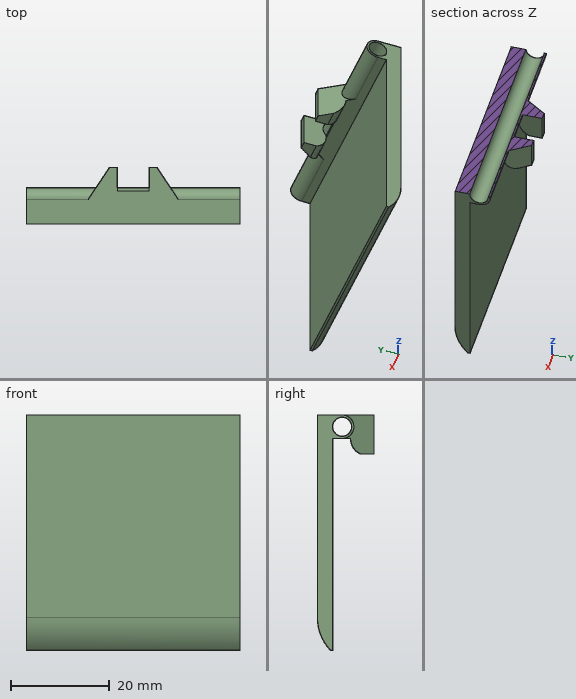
import cadquery as cq
import math

WIDTH = 43.18
HEIGHT = 47.62
DEPTH = 11.51

PLATE_THICKNESS = 3.175
NOSE_RADIUS = 9.525
TIP_THICKNESS = 0.5

BARREL_DIAMETER = 4.7625
BORE_DIAMETER = 3.81
BARREL_Y = 5.02
BARREL_RADIUS = BARREL_DIAMETER / 2
BARREL_Z = HEIGHT - BARREL_RADIUS
BARREL_BOTTOM = HEIGHT - BARREL_DIAMETER

PRONG_GAP = 6.4
PRONG_TIP_WIDTH = 1.6
PRONG_ROOT_Y = 6.7
PRONG_SIDE_ANGLE = 33.5
HOOK_DROP = 3.175
HOOK_RADIUS = 3.429


def arc_inset(radius, distance):
    """Sideways offset of an arc at a distance along the line it leaves tangentially."""
    return radius - math.sqrt(radius**2 - distance**2)


def arc_distance(radius, inset):
    """Distance along the tangent line at which an arc has moved sideways by inset."""
    return math.sqrt(radius**2 - (radius - inset) ** 2)


def end_sketch():
    """Y-Z sketch plane on the left end of the part."""
    return cq.Workplane("YZ", origin=(-WIDTH / 2, 0, 0))


def make_plate():
    """Plate with its lower front edge rounded, tangent to the front face."""
    tip_y = PLATE_THICKNESS - TIP_THICKNESS
    nose_height = arc_distance(NOSE_RADIUS, tip_y)
    middle_z = nose_height / 2
    middle_y = arc_inset(NOSE_RADIUS, nose_height - middle_z)
    return (
        end_sketch()
        .moveTo(PLATE_THICKNESS, 0)
        .lineTo(PLATE_THICKNESS, HEIGHT)
        .lineTo(0, HEIGHT)
        .lineTo(0, nose_height)
        .threePointArc((middle_y, middle_z), (tip_y, 0))
        .close()
        .extrude(WIDTH)
    )


def make_barrel():
    """Round barrel joined to the plate by a block of the same height."""
    return (
        end_sketch()
        .moveTo(0, BARREL_BOTTOM)
        .lineTo(BARREL_Y, BARREL_BOTTOM)
        .threePointArc((BARREL_Y + BARREL_RADIUS, BARREL_Z), (BARREL_Y, HEIGHT))
        .lineTo(0, HEIGHT)
        .close()
        .extrude(WIDTH)
    )


def make_prongs():
    """Tapered prongs with hooked lower ends, on a root that overlaps the barrel."""
    tip_x = PRONG_GAP / 2 + PRONG_TIP_WIDTH
    root_x = tip_x + (DEPTH - BARREL_Y) * math.tan(math.radians(PRONG_SIDE_ANGLE))
    gap_x = PRONG_GAP / 2
    hook_bottom = BARREL_BOTTOM - HOOK_DROP

    plan = (
        cq.Workplane("XY", origin=(0, 0, hook_bottom))
        .moveTo(-root_x, BARREL_Y)
        .lineTo(-tip_x, DEPTH)
        .lineTo(-gap_x, DEPTH)
        .lineTo(-gap_x, PRONG_ROOT_Y)
        .lineTo(gap_x, PRONG_ROOT_Y)
        .lineTo(gap_x, DEPTH)
        .lineTo(tip_x, DEPTH)
        .lineTo(root_x, BARREL_Y)
        .close()
        .extrude(HEIGHT - hook_bottom)
    )

    middle_drop = HOOK_DROP / 2
    middle_y = PRONG_ROOT_Y + arc_inset(HOOK_RADIUS, middle_drop)
    bottom_y = PRONG_ROOT_Y + arc_inset(HOOK_RADIUS, HOOK_DROP)
    side = (
        end_sketch()
        .moveTo(BARREL_Y, HEIGHT)
        .lineTo(BARREL_Y, BARREL_BOTTOM)
        .lineTo(PRONG_ROOT_Y, BARREL_BOTTOM)
        .threePointArc((middle_y, BARREL_BOTTOM - middle_drop), (bottom_y, hook_bottom))
        .lineTo(DEPTH, hook_bottom)
        .lineTo(DEPTH, HEIGHT)
        .close()
        .extrude(WIDTH)
    )
    return plan.intersect(side)


def make_bore():
    """Pin hole through the full length of the barrel."""
    return end_sketch().center(BARREL_Y, BARREL_Z).circle(BORE_DIAMETER / 2).extrude(WIDTH)


body = make_plate().union(make_barrel()).union(make_prongs())
result = body.cut(make_bore())